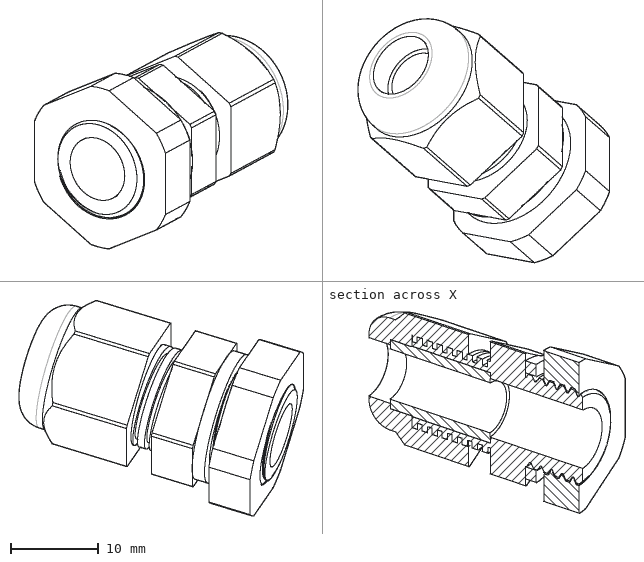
import cadquery as cq
import math


total_length = 30.0
locknut_start = 0.5
locknut_end = 5.5
washer_start = 6.5
body_hex_start = 8.0
body_hex_end = 13.0
cap_start = 16.0
body_end = 24.0
seal_end = 27.0

wrench_flats = 15.0
wrench_corner_diameter = 17.07
locknut_flats = 18.0
locknut_corner_diameter = 19.5

dome_radius = 7.25
dome_fillet = 3.0
dome_base = 26.25

washer_radius = 7.65
washer_bore_radius = 6.03
body_bore_radius = 3.75
seal_radius = 4.5
seal_bore_radius = 3.2

thread_radius = 6.0
tail_pitch = 1.5
tail_root_radius = 5.35
tail_crest_width = 0.55
tail_base_width = 1.38
tail_phase = 0.27
tail_chamfer = 0.57
locknut_clearance = 0.12
neck_pitch = 1.4
neck_root_radius = 5.2
neck_ridge_width = 0.85
neck_phase = 1.08
ridge_embed = 0.1


def cylinder(radius, start, end):
    return cq.Workplane("XY").workplane(offset=start).circle(radius).extrude(end - start)


def hex_prism(flats, corner_diameter, start, end):
    """Hexagon with two corners on the local Y axis, trimmed by a round at its corners."""
    across_corners = flats / math.cos(math.pi / 6)
    prism = (
        cq.Workplane("XY")
        .workplane(offset=start)
        .transformed(rotate=(0, 0, 30))
        .polygon(6, across_corners)
        .extrude(end - start)
    )
    return prism.intersect(cylinder(corner_diameter / 2, start, end))


def threaded_rod(
    root_radius, crest_radius, crest_width, base_width, pitch, phase, start, end, left_handed=False
):
    """Root cylinder with a helical ridge around it, cut off square at both ends.

    phase is the height of the ridge above start where it crosses local +X.
    """
    depth = crest_radius - root_radius
    embedded_radius = root_radius - ridge_embed
    embedded_width = base_width + (base_width - crest_width) * ridge_embed / depth
    runout = 2 * pitch
    ridge_start = start + phase - runout
    path = cq.Wire.makeHelix(pitch, end + runout - ridge_start, crest_radius, lefthand=left_handed)
    ridge = (
        cq.Workplane("XZ")
        .moveTo(crest_radius, -crest_width / 2)
        .lineTo(crest_radius, crest_width / 2)
        .lineTo(embedded_radius, embedded_width / 2)
        .lineTo(embedded_radius, -embedded_width / 2)
        .close()
        .sweep(cq.Workplane(obj=path), isFrenet=True)
        .translate((0, 0, ridge_start))
    )
    core = cylinder(root_radius, start - 2 * runout, end + 2 * runout)
    envelope = cylinder(wrench_flats / 2, start, end)
    return core.union(ridge, clean=False).intersect(envelope, clean=False)


def tail_thread(crest_radius):
    """Right-handed V thread, used for the body's tail and for the hole of the locknut."""
    return threaded_rod(
        tail_root_radius,
        crest_radius,
        tail_crest_width,
        tail_base_width,
        tail_pitch,
        tail_phase,
        0,
        body_hex_start,
    )


def make_tail():
    """Threaded tail that carries the washer and the locknut, coned at its free end."""
    blank_radius = wrench_flats / 2
    end_cone = (
        cylinder(blank_radius, 0, body_hex_start)
        .faces("<Z")
        .chamfer(blank_radius - thread_radius + tail_chamfer)
    )
    return tail_thread(thread_radius).intersect(end_cone, clean=False)


def make_neck():
    """Left-handed square thread that the cap screws onto."""
    return threaded_rod(
        neck_root_radius,
        thread_radius,
        neck_ridge_width,
        neck_ridge_width,
        neck_pitch,
        neck_phase,
        body_hex_end,
        body_end,
        left_handed=True,
    )


def make_body():
    """Hexagon with a threaded tail below and a threaded neck above, bored through."""
    body = hex_prism(wrench_flats, wrench_corner_diameter, body_hex_start, body_hex_end)
    body = body.union(make_tail()).union(make_neck())
    body = body.cut(cylinder(body_bore_radius, 0, body_end))
    return body.cut(cylinder(seal_radius, body_hex_end, body_end))


def make_seal():
    """Tube in the body's counterbore, clamped by the end wall of the cap."""
    return cylinder(seal_radius, body_hex_end, seal_end).cut(
        cylinder(seal_bore_radius, body_hex_end, seal_end)
    )


def make_washer():
    return cylinder(washer_radius, washer_start, body_hex_start).cut(
        cylinder(washer_bore_radius, washer_start, body_hex_start)
    )


def make_locknut():
    """Hexagon nut whose thread roots clear the crests of the tail."""
    nut = hex_prism(locknut_flats, locknut_corner_diameter, locknut_start, locknut_end)
    return nut.cut(tail_thread(thread_radius + locknut_clearance))


def make_cap(body):
    """Domed hexagon cap, threaded inside by the body's neck and closed onto the seal."""
    corner_radius = wrench_corner_diameter / 2
    cone_height = corner_radius - dome_radius
    hexagon = hex_prism(wrench_flats, wrench_corner_diameter, cap_start, dome_base)
    cone = (
        cq.Workplane("XZ")
        .moveTo(0, cap_start)
        .lineTo(corner_radius, cap_start)
        .lineTo(corner_radius, dome_base - cone_height)
        .lineTo(dome_radius, dome_base)
        .lineTo(0, dome_base)
        .close()
        .revolve(360, (0, 0, 0), (0, 1, 0))
    )
    dome = cylinder(dome_radius, dome_base, total_length).faces(">Z").edges().fillet(dome_fillet)
    cap = hexagon.intersect(cone).union(dome)
    cap = cap.cut(cylinder(seal_radius, cap_start, seal_end))
    return cap.cut(cylinder(body_bore_radius, seal_end, total_length)).cut(body)


def lay_along_y(part):
    return part.rotate((0, 0, 0), (1, 0, 0), -90).solids().val()


body = make_body()
seal = make_seal()
washer = make_washer()
locknut = make_locknut()
cap = make_cap(body)

parts = [body, seal, washer, locknut, cap]
result = cq.Compound.makeCompound([lay_along_y(part) for part in parts])